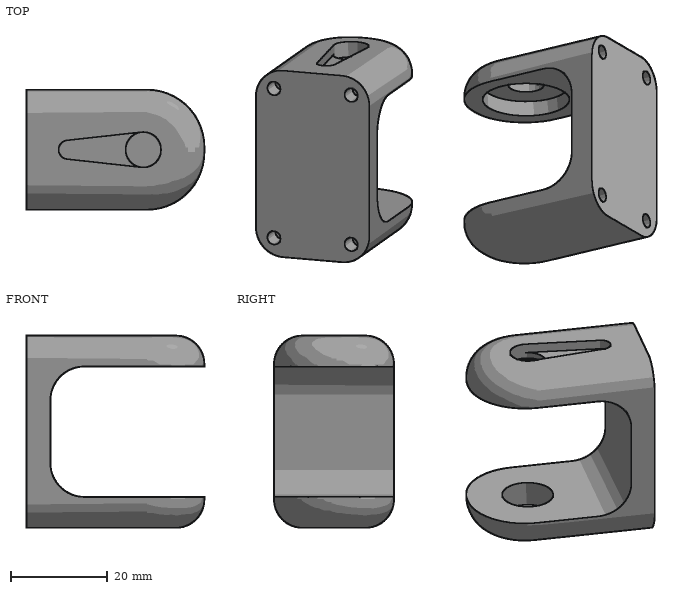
import cadquery as cq
import math

length = 37.0
width = 25.0
height = 40.0
plate_thickness = 5.0
arm_thickness = 6.5
nose_radius = 12.0
edge_radius = 6.0
inner_radius = 7.0

hole_x = 24.3
upper_hole_diameter = 7.35
pocket_end_x = 8.65
pocket_end_radius = 1.95
pocket_depth = 2.0
recess_diameter = 18.0
recess_depth = 3.2

socket_diameter = 10.6
socket_depth = 5.2

mount_diameter = 2.9
mount_depth = 5.0
mount_spacing_y = 17.0
mount_spacing_z = 32.0

half_height = height / 2
gap_half_height = half_height - arm_thickness


def rounded_block():
    """Solid block with a rounded nose and rounded long outer edges."""
    block = cq.Workplane("XY").box(length, width, height, centered=(False, True, True))
    block = block.edges("|Z and >X").fillet(nose_radius)
    return block.faces(">Z or <Z").edges("not <X").fillet(edge_radius)


def arm_gap():
    """Opening between the arms, rounded where they meet the back plate."""
    gap = cq.Workplane("XY").box(
        length, width, 2 * gap_half_height, centered=(False, True, True)
    )
    return gap.edges("|Y and <X").fillet(inner_radius).translate((plate_thickness, 0, 0))


def upper_hole():
    return (
        cq.Workplane("XY", origin=(hole_x, 0, 0))
        .circle(upper_hole_diameter / 2)
        .extrude(half_height)
    )


def tapered_pocket():
    """Pocket bounded by the hole, a smaller end round and their common tangents."""
    hole_radius = upper_hole_diameter / 2
    tangent_sine = (hole_radius - pocket_end_radius) / (hole_x - pocket_end_x)
    tangent_cosine = math.sqrt(1 - tangent_sine**2)

    def tangent_point(center_x, radius, side):
        return (center_x - radius * tangent_sine, side * radius * tangent_cosine)

    return (
        cq.Workplane("XY", origin=(0, 0, half_height))
        .moveTo(*tangent_point(pocket_end_x, pocket_end_radius, -1))
        .lineTo(*tangent_point(hole_x, hole_radius, -1))
        .threePointArc((hole_x + hole_radius, 0), tangent_point(hole_x, hole_radius, 1))
        .lineTo(*tangent_point(pocket_end_x, pocket_end_radius, 1))
        .threePointArc(
            (pocket_end_x - pocket_end_radius, 0),
            tangent_point(pocket_end_x, pocket_end_radius, -1),
        )
        .close()
        .extrude(-pocket_depth)
    )


def upper_recess():
    """Round recess in the underside of the upper arm, around the through hole."""
    return (
        cq.Workplane("XY", origin=(hole_x, 0, gap_half_height))
        .circle(recess_diameter / 2)
        .extrude(recess_depth)
    )


def lower_socket():
    return (
        cq.Workplane("XY", origin=(hole_x, 0, -gap_half_height))
        .circle(socket_diameter / 2)
        .extrude(-socket_depth)
    )


def mounting_holes():
    return (
        cq.Workplane("YZ")
        .rarray(mount_spacing_y, mount_spacing_z, 2, 2)
        .circle(mount_diameter / 2)
        .extrude(mount_depth)
    )


cutters = (
    arm_gap(),
    upper_hole(),
    tapered_pocket(),
    upper_recess(),
    lower_socket(),
    mounting_holes(),
)

result = rounded_block()
for cutter in cutters:
    result = result.cut(cutter)